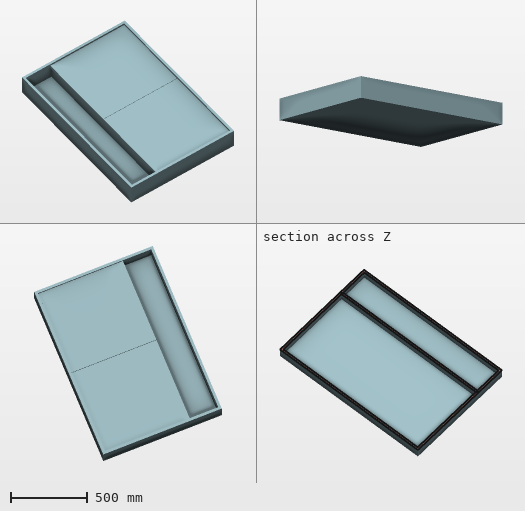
import cadquery as cq

LENGTH = 1200.0
WIDTH = 835.0
HEIGHT = 145.0
BOARD = 18.0
INNER_LENGTH = LENGTH - 2 * BOARD
INNER_WIDTH = WIDTH - 2 * BOARD
INNER_BACK = INNER_WIDTH / 2

LID_DEPTH = 600.0
LID_THICKNESS = 20.0
LID_GAP = 2.0
LID_RECESS = 15.0
LID_LENGTH = (INNER_LENGTH - LID_GAP) / 2
LID_TOP = HEIGHT - LID_RECESS
LID_BOTTOM = LID_TOP - LID_THICKNESS
LID_FRONT = INNER_BACK - LID_DEPTH

LID_OVERHANG = 8.0
DIVIDER_HEIGHT = LID_BOTTOM - BOARD
DIVIDER_FRONT = LID_FRONT + LID_OVERHANG


def make_tray():
    """Rectangular box with an open top."""
    outer = cq.Workplane("XY").box(LENGTH, WIDTH, HEIGHT, centered=(True, True, False))
    cavity = (
        cq.Workplane("XY", origin=(0, 0, BOARD))
        .box(INNER_LENGTH, INNER_WIDTH, HEIGHT - BOARD, centered=(True, True, False))
    )
    return outer.cut(cavity)


def make_divider():
    """Upright board that spans the tray and carries the front of the lids."""
    return (
        cq.Workplane("XY", origin=(0, DIVIDER_FRONT, BOARD))
        .box(INNER_LENGTH, BOARD, DIVIDER_HEIGHT, centered=(True, False, False))
    )


def make_lid(center_x):
    """Flat panel from the rear wall to just past the divider."""
    return (
        cq.Workplane("XY", origin=(center_x, LID_FRONT, LID_BOTTOM))
        .box(LID_LENGTH, LID_DEPTH, LID_THICKNESS, centered=(True, False, False))
    )


tray = make_tray()
divider = make_divider()
lid_offset = (LID_LENGTH + LID_GAP) / 2
lids = [make_lid(side * lid_offset) for side in (-1, 1)]

result = cq.Compound.makeCompound([tray.val(), divider.val(), *[lid.val() for lid in lids]])